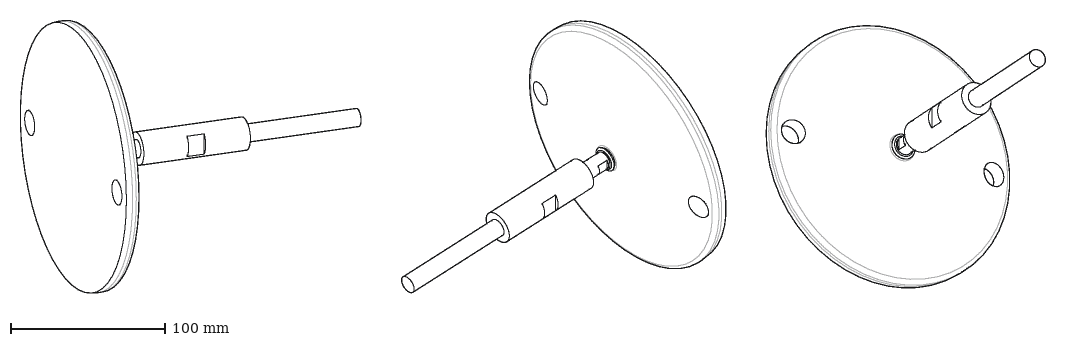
import cadquery as cq
import math


TOTAL_LENGTH = 200.0
FOOT_DIAMETER = 178.0

RIM_BAND = 4.2
RIM_TAPER = 0.5
RIM_TOP = 9.8
RIM_FILLET = 3.0
CONE_TOP_RADIUS = 9.2
CONE_TOP = 22.8
LIP_ROOT_RADIUS = 7.5
LIP_OUTER_RADIUS = 8.5
LIP_SHOULDER = 24.5
LIP_INNER_RADIUS = 7.0
LIP_TOP = 25.2
SOCKET_FLOOR = 14.0

HOLE_DIAMETER = 16.5
HOLE_OFFSET = 72.8
HOLE_CUT_LENGTH = 80.0

SPINDLE_DIAMETER = 12.0
SPINDLE_SHOULDER = 25.5
NECK_RADIUS = 4.5
NECK_TOP = 24.5
SPINDLE_FLATS = 9.2
SPINDLE_FLAT_LENGTH = 8.0
SPINDLE_FLAT_CENTRE = 31.0

SLEEVE_DIAMETER = 22.0
SLEEVE_START = 45.0
SLEEVE_LENGTH = 75.0
SLEEVE_FLATS = 17.0
SLEEVE_FLAT_LENGTH = 12.0
SLEEVE_FLAT_CENTRE = SLEEVE_START + SLEEVE_LENGTH / 2


def revolve_about_y(profile):
    """Revolve a closed (radius, y) profile about the Y axis."""
    return profile.close().revolve(360, (0, 0, 0), (0, 1, 0))


def cut_flats(body, diameter, across_flats, length, centre):
    """Cut two opposite wrench flats, facing +X and -X."""
    depth = (diameter - across_flats) / 2
    for side in (-1, 1):
        cutter = cq.Workplane("XY").box(depth, length, diameter)
        body = body.cut(cutter.translate((side * (across_flats + depth) / 2, centre, 0)))
    return body


def make_foot():
    radius = FOOT_DIAMETER / 2
    cone_base_radius = radius - RIM_FILLET
    fillet_start = RIM_TOP - RIM_FILLET
    arc_inset = RIM_FILLET * (1 - math.sqrt(0.5))
    profile = (
        cq.Workplane("XY")
        .moveTo(0, 0)
        .lineTo(radius - RIM_TAPER, 0)
        .lineTo(radius, RIM_BAND)
        .lineTo(radius, fillet_start)
        .threePointArc((radius - arc_inset, RIM_TOP - arc_inset), (cone_base_radius, RIM_TOP))
        .lineTo(CONE_TOP_RADIUS, CONE_TOP)
        .lineTo(LIP_ROOT_RADIUS, CONE_TOP)
        .lineTo(LIP_OUTER_RADIUS, LIP_SHOULDER)
        .lineTo(LIP_INNER_RADIUS, LIP_TOP)
        .lineTo(NECK_RADIUS, NECK_TOP)
        .lineTo(NECK_RADIUS, SOCKET_FLOOR)
        .lineTo(0, SOCKET_FLOOR)
    )
    foot = revolve_about_y(profile)

    slope = math.atan2(CONE_TOP - RIM_TOP, cone_base_radius - CONE_TOP_RADIUS)
    for side in (-1, 1):
        direction = cq.Vector(side * math.sin(slope), math.cos(slope), 0)
        start = cq.Vector(side * HOLE_OFFSET, 0, 0) - direction * (HOLE_CUT_LENGTH / 2)
        foot = foot.cut(cq.Workplane(
            cq.Solid.makeCylinder(HOLE_DIAMETER / 2, HOLE_CUT_LENGTH, start, direction)
        ))
    return foot


def make_spindle():
    radius = SPINDLE_DIAMETER / 2
    profile = (
        cq.Workplane("XY")
        .moveTo(0, SOCKET_FLOOR)
        .lineTo(NECK_RADIUS, SOCKET_FLOOR)
        .lineTo(NECK_RADIUS, NECK_TOP)
        .lineTo(radius, SPINDLE_SHOULDER)
        .lineTo(radius, TOTAL_LENGTH)
        .lineTo(0, TOTAL_LENGTH)
    )
    spindle = revolve_about_y(profile)
    return cut_flats(
        spindle, SPINDLE_DIAMETER, SPINDLE_FLATS, SPINDLE_FLAT_LENGTH, SPINDLE_FLAT_CENTRE
    )


def make_sleeve():
    sleeve = (
        cq.Workplane("XZ", origin=(0, SLEEVE_START, 0))
        .circle(SLEEVE_DIAMETER / 2)
        .circle(SPINDLE_DIAMETER / 2)
        .extrude(-SLEEVE_LENGTH)
    )
    return cut_flats(
        sleeve, SLEEVE_DIAMETER, SLEEVE_FLATS, SLEEVE_FLAT_LENGTH, SLEEVE_FLAT_CENTRE
    )


foot = make_foot()
spindle = make_spindle()
sleeve = make_sleeve()

result = cq.Compound.makeCompound([foot.val(), spindle.val(), sleeve.val()])